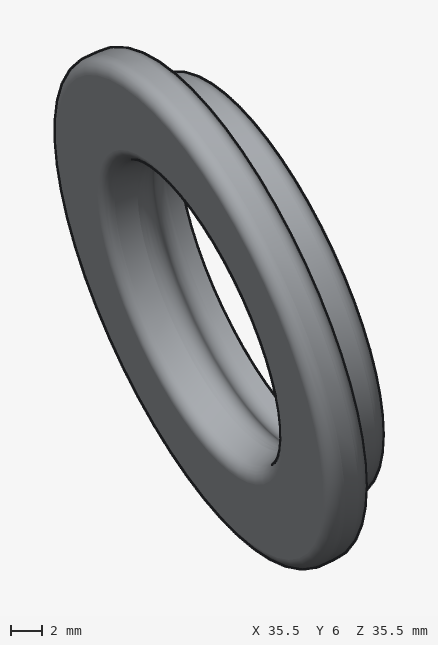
import cadquery as cq
import math

outer_diameter = 35.5
total_depth = 6.0
flange_depth = total_depth / 2
boss_diameter = 29.5
edge_radius = 1.0

mouth_edge_radius = 11.57
mouth_half_angle = math.radians(17)
lip_radius = 10.2
lip_width = 0.3
rear_bore_radius = 11.65
rear_bore_length = 1.0

outer_radius = outer_diameter / 2
boss_radius = boss_diameter / 2

rounding_sweep = math.pi / 2 - mouth_half_angle


def mouth_rounding_point(angle):
    """Return (depth, radius) on the mouth rounding, swept from the front face."""
    depth = edge_radius * (1 - math.cos(angle))
    radius = mouth_edge_radius - edge_radius * math.sin(angle)
    return depth, radius


cone_start = mouth_rounding_point(rounding_sweep)
lip_front = cone_start[0] + (cone_start[1] - lip_radius) / math.tan(mouth_half_angle)
lip_back = lip_front + lip_width
rear_bore_start = total_depth - rear_bore_length

s_curve_middle = ((lip_back + rear_bore_start) / 2, (lip_radius + rear_bore_radius) / 2)


def make_stepped_disc():
    """Flange and rear boss with rounded outer edges."""
    flange = cq.Workplane("XZ").circle(outer_radius).extrude(-flange_depth)
    flange = flange.edges().fillet(edge_radius)
    boss = cq.Workplane("XZ", origin=(0, flange_depth, 0))
    boss = boss.circle(boss_radius).extrude(flange_depth - total_depth)
    boss = boss.faces(">Y").edges().fillet(edge_radius)
    return flange.union(boss)


def make_bore():
    """Solid of revolution removed from the disc; section points are (depth, radius)."""
    section = (
        cq.Workplane("YZ")
        .moveTo(0, 0)
        .lineTo(0, mouth_edge_radius)
        .threePointArc(mouth_rounding_point(rounding_sweep / 2), cone_start)
        .lineTo(lip_front, lip_radius)
        .lineTo(lip_back, lip_radius)
        .tangentArcPoint(s_curve_middle, relative=False)
        .tangentArcPoint((rear_bore_start, rear_bore_radius), relative=False)
        .lineTo(total_depth, rear_bore_radius)
        .lineTo(total_depth, 0)
        .close()
    )
    return section.revolve(360, (0, 0, 0), (1, 0, 0))


result = make_stepped_disc().cut(make_bore())